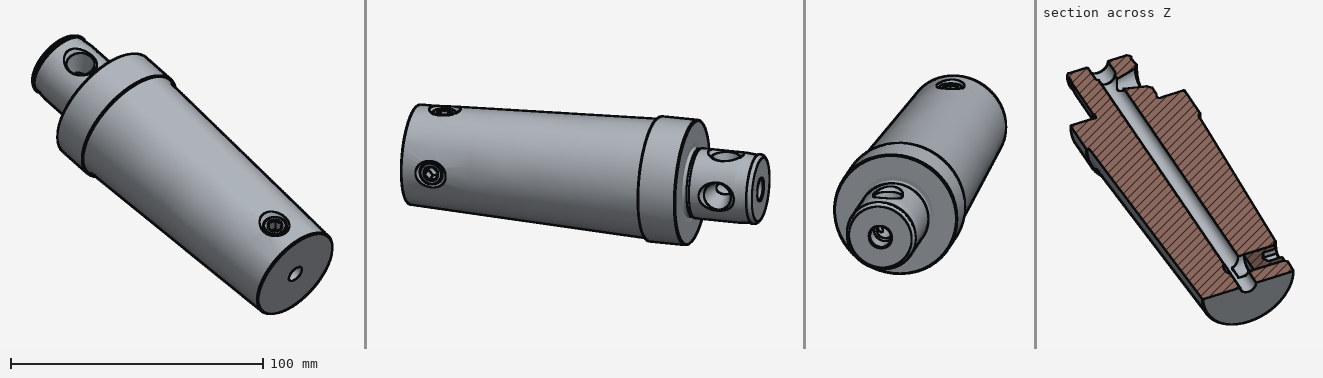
import cadquery as cq
import math

total_length = 143.0
flange_start = 28.2
flange_end = 43.8
handle_start = 44.5

spigot_radius = 14.0
spigot_face_radius = 12.7
rim_length = 1.9
groove_start = 2.1
groove_end = 2.6
groove_radius = 13.6
pilot_start = 7.2
pilot_end = 25.6
undercut_start = 26.7
undercut_radius = 13.6

undercut_fillet = 0.7
undercut_face_depth = 0.1
runout_radius = 15.9

flange_radius = 25.0
flange_chamfer = 0.5
handle_big_radius = 23.9
handle_small_radius = 20.0
handle_end_chamfer = 0.5

bore_radius = 3.5
bore_mouth_radius = 4.7
mouth_chamfer = 0.5
mouth_depth = 7.9

seat_x = 14.3
seat_radius = 5.6
seat_countersink_height = 12.3
seat_half_angle = 16
seat_bottom = bore_radius / 2

screw_x = 130.7
screw_radius = 4.7
screw_top = 19.3
screw_bottom = 5.7
screw_chamfer = 0.5
countersink_height = screw_top - screw_chamfer
socket_flats = 5.0
socket_depth = 5.7
socket_point_depth = 1.7
socket_turn = 15
socket_mouth_radius = 3.0

seam_turn = 180

side_angles = (0, -90)
X_AXIS = ((0, 0, 0), (1, 0, 0))


def revolve_about_x(points):
    """Solid of revolution about X from (x, radius) points."""
    return cq.Workplane("XY").polyline(points).close().revolve(360, *X_AXIS)


def revolve_about_z(points, x):
    """Solid of revolution about a line parallel to Z at the given x, from (radius, z) points."""
    return cq.Workplane("XZ").polyline(points).close().revolve(360, (0, 0), (0, 1)).translate((x, 0, 0))


def on_each_side(shape):
    """Copies of a shape built along +Z, turned to each of its places around the X axis."""
    return [shape.rotate(*X_AXIS, angle) for angle in side_angles]


def make_blank():
    rim_drop = spigot_radius - spigot_face_radius
    rim_round = (rim_length**2 + rim_drop**2) / (2 * rim_drop)
    fillet_end = flange_start + undercut_face_depth
    handle_fillet = handle_start - flange_end
    outline = (
        cq.Workplane("XY")
        .moveTo(0, 0)
        .lineTo(0, spigot_face_radius)
        .radiusArc((rim_length, spigot_radius), rim_round)
        .lineTo(groove_start, groove_radius)
        .lineTo(groove_end, groove_radius)
        .lineTo(pilot_start, spigot_radius)
        .lineTo(pilot_end, spigot_radius)
        .lineTo(undercut_start, undercut_radius)
        .lineTo(fillet_end - undercut_fillet, undercut_radius)
        .radiusArc((fillet_end, undercut_radius + undercut_fillet), -undercut_fillet)
        .lineTo(flange_start, runout_radius)
        .lineTo(flange_start, flange_radius - flange_chamfer)
        .lineTo(flange_start + flange_chamfer, flange_radius)
        .lineTo(flange_end - flange_chamfer, flange_radius)
        .lineTo(flange_end, flange_radius - flange_chamfer)
        .radiusArc((handle_start, handle_big_radius), -handle_fillet)
        .lineTo(total_length - handle_end_chamfer, handle_small_radius)
        .lineTo(total_length, handle_small_radius - handle_end_chamfer)
        .lineTo(total_length, 0)
        .close()
    )
    return outline.revolve(360, *X_AXIS).rotate(*X_AXIS, seam_turn)


def make_bore():
    mouth_radius = bore_mouth_radius - mouth_chamfer
    return revolve_about_x([
        (0, 0),
        (0, bore_mouth_radius),
        (mouth_chamfer, mouth_radius),
        (mouth_depth, mouth_radius),
        (mouth_depth + mouth_radius - bore_radius, bore_radius),
        (total_length, bore_radius),
        (total_length, 0),
    ])


def make_seat():
    """Countersunk hole that narrows in a cone to break into the bore."""
    countersink_rise = spigot_radius - seat_countersink_height
    cone_height = seat_countersink_height - seat_bottom
    bottom_radius = seat_radius - cone_height * math.tan(math.radians(seat_half_angle))
    return revolve_about_z([
        (0, seat_bottom),
        (bottom_radius, seat_bottom),
        (seat_radius, seat_countersink_height),
        (seat_radius + countersink_rise, spigot_radius),
        (0, spigot_radius),
    ], seat_x)


def make_screw_hole():
    """Countersunk hole from the tapered surface into the bore."""
    countersink_rise = handle_big_radius - countersink_height
    return revolve_about_z([
        (0, 0),
        (screw_radius, 0),
        (screw_radius, countersink_height),
        (screw_radius + countersink_rise, handle_big_radius),
        (0, handle_big_radius),
    ], screw_x)


def make_housing():
    housing = make_blank().cut(make_bore())
    for cutter in on_each_side(make_seat()) + on_each_side(make_screw_hole()):
        housing = housing.cut(cutter)
    return housing


def make_socket():
    """Hexagonal socket ending in a shallow conical point."""
    corner_radius = socket_flats / 2 / math.cos(math.radians(30))
    depth = socket_depth + socket_point_depth
    hexagon = (
        cq.Workplane("XY", origin=(0, 0, screw_top - depth))
        .polygon(6, 2 * corner_radius)
        .extrude(depth)
        .rotate((0, 0, 0), (0, 0, 1), socket_turn)
        .translate((screw_x, 0, 0))
    )
    pointed_drill = revolve_about_z([
        (0, screw_top - depth),
        (corner_radius, screw_top - socket_depth),
        (corner_radius, screw_top),
        (0, screw_top),
    ], screw_x)
    mouth = revolve_about_z([
        (0, screw_top - socket_mouth_radius),
        (socket_mouth_radius, screw_top),
        (0, screw_top),
    ], screw_x)
    return hexagon.intersect(pointed_drill).union(mouth)


def make_set_screw():
    shank = (
        cq.Workplane("XY", origin=(screw_x, 0, screw_bottom))
        .circle(screw_radius)
        .extrude(screw_top - screw_bottom)
        .faces("<Z or >Z")
        .chamfer(screw_chamfer)
    )
    return shank.cut(make_socket())


housing = make_housing()
set_screws = on_each_side(make_set_screw())

result = cq.Compound.makeCompound([housing.val(), *[screw.val() for screw in set_screws]])